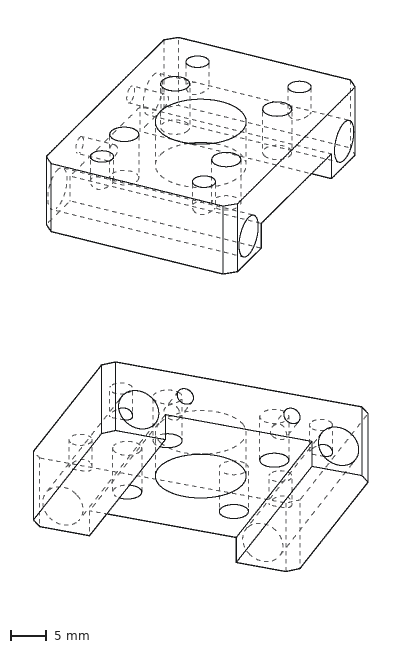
import cadquery as cq

length_x = 30
length_y = 40
height = 11.0
corner_chamfer = 1.5

channel_width = 22
channel_depth = 4
web_mid_z = (channel_depth + height) / 2

center_bore_diameter = 12.75
through_hole_diameter = 4.1
hole_offset = 8

rod_bore_diameter = 6.05
rod_bore_y = 15.0
rod_bore_z = channel_depth
clamp_hole_diameter = 3.25

side_hole_diameter = 2.45
side_hole_depth = length_x / 2 - hole_offset


def mirrored_points(x, y):
    return [(sx * x, sy * y) for sx in (-1, 1) for sy in (-1, 1)]


def vertical_holes(points, diameter, bottom_z):
    """Cylinders from bottom_z up to the top face."""
    return (
        cq.Workplane("XY", origin=(0, 0, bottom_z))
        .pushPoints(points)
        .circle(diameter / 2)
        .extrude(height - bottom_z)
    )


def holes_along_x(y, z, diameter, depth):
    """Pair of cylinders at +y and -y, running inward from the -X face."""
    return (
        cq.Workplane("YZ", origin=(-length_x / 2, 0, z))
        .pushPoints([(-y, 0), (y, 0)])
        .circle(diameter / 2)
        .extrude(depth)
    )


block = (
    cq.Workplane("XY")
    .box(length_x, length_y, height, centered=(True, True, False))
    .edges("|Z")
    .chamfer(corner_chamfer)
)

channel = cq.Workplane("XY").box(
    length_x, channel_width, channel_depth, centered=(True, True, False)
)

center_bore = vertical_holes([(0, 0)], center_bore_diameter, 0)
through_holes = vertical_holes(
    mirrored_points(hole_offset, hole_offset), through_hole_diameter, 0
)
clamp_holes = vertical_holes(
    mirrored_points(hole_offset, rod_bore_y), clamp_hole_diameter, rod_bore_z
)
rod_bores = holes_along_x(rod_bore_y, rod_bore_z, rod_bore_diameter, length_x)
side_holes = holes_along_x(hole_offset, web_mid_z, side_hole_diameter, side_hole_depth)

result = (
    block.cut(channel)
    .cut(center_bore)
    .cut(through_holes)
    .cut(rod_bores)
    .cut(clamp_holes)
    .cut(side_holes)
)